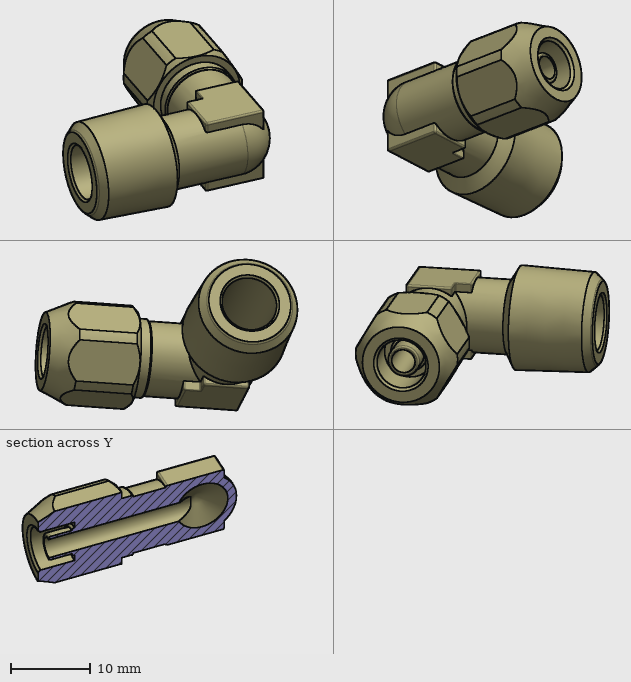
import cadquery as cq
import math

arm_radius = 9.5 / 2

nut_front_x = -22.5
nut_length = 11.5
nut_back_x = nut_front_x + nut_length
nut_across_flats = 12.0
nut_across_corners = nut_across_flats / math.cos(math.radians(30))
nut_radius = 13.1 / 2
nut_front_radius = 9.9 / 2
nut_front_taper = 3.5
nut_back_radius = 11.9 / 2
nut_back_chamfer = 0.65

collar_radius = 10.0 / 2
collar_end_x = -9.4
collar_chamfer = 0.2

socket_radius = 6.3 / 2
socket_mouth_radius = 7.0 / 2
socket_chamfer = socket_mouth_radius - socket_radius
socket_depth = 5.0
socket_floor_x = nut_front_x + socket_depth
nipple_recess = 1.5
nipple_tip_x = nut_front_x + nipple_recess
nipple_radius = 4.0 / 2
nipple_root_fillet = 0.35
nipple_tip_fillet = 0.25
tube_bore_radius = 3.0 / 2

thread_start_y = -9.4
thread_shoulder_y = -10.5
thread_end_y = -21.0
thread_shoulder_radius = 13.28 / 2
thread_taper = 1 / 16
thread_chamfer_y = -19.85
thread_small_radius = thread_shoulder_radius - (thread_shoulder_y - thread_chamfer_y) * thread_taper / 2
thread_nose_length = 0.2
thread_nose_radius = 11.0 / 2
thread_face_radius = 10.5 / 2

main_bore_radius = 7.0 / 2
main_bore_chamfer = 0.3
drill_point_angle = 120.0
drill_point_length = main_bore_radius / math.tan(math.radians(drill_point_angle / 2))

pad_height = 10.0
pad_near = 3.05
pad_far = -5.0
pad_notch = -2.85
pad_fillet = 0.25
notch_fillet = 0.12


def revolve_x(points):
    """Revolve (x, radius) points about the X axis."""
    return cq.Workplane("XY").polyline(points).close().revolve(360, (0, 0, 0), (1, 0, 0))


def revolve_y(points):
    """Revolve (radius, y) points about the Y axis."""
    return cq.Workplane("XY").polyline(points).close().revolve(360, (0, 0, 0), (0, 1, 0))


def make_nut():
    hexagon = (
        cq.Workplane("YZ", origin=(nut_front_x, 0, 0))
        .polygon(6, nut_across_corners)
        .extrude(nut_length)
    )
    envelope = revolve_x([
        (nut_front_x, 0),
        (nut_front_x, nut_front_radius),
        (nut_front_x + nut_front_taper, nut_radius),
        (nut_back_x - nut_back_chamfer, nut_radius),
        (nut_back_x, nut_back_radius),
        (nut_back_x, 0),
    ])
    return hexagon.intersect(envelope)


def make_nut_arm():
    return revolve_x([
        (nut_back_x, 0),
        (nut_back_x, collar_radius),
        (collar_end_x - collar_chamfer, collar_radius),
        (collar_end_x, collar_radius - collar_chamfer),
        (collar_end_x, arm_radius),
        (0, arm_radius),
        (0, 0),
    ])


def make_thread_arm():
    return revolve_y([
        (0, 0),
        (arm_radius, 0),
        (arm_radius, thread_start_y),
        (thread_shoulder_radius, thread_shoulder_y),
        (thread_small_radius, thread_chamfer_y),
        (thread_nose_radius, thread_end_y + thread_nose_length),
        (thread_face_radius, thread_end_y),
        (0, thread_end_y),
    ])


def make_pads():
    """One L-shaped block through the elbow whose two ends form the pads."""
    side = pad_near - pad_far
    middle = (pad_near + pad_far) / 2
    block = cq.Workplane("XY").box(side, side, pad_height)
    block = block.edges("|Z").fillet(pad_fillet).faces("|Z").edges().fillet(pad_fillet)
    block = block.translate((middle, middle, 0))
    notch_size = pad_notch - pad_far
    notch_middle = (pad_notch + pad_far) / 2
    notch = cq.Workplane("XY").box(notch_size, notch_size, pad_height)
    block = block.cut(notch.translate((notch_middle, notch_middle, 0)))
    notch_zone = cq.selectors.BoxSelector(
        (pad_far - pad_fillet, pad_far - pad_fillet, -pad_height),
        (pad_notch + pad_fillet, pad_notch + pad_fillet, pad_height),
        boundingbox=True,
    )
    inner_corner = cq.selectors.NearestToPointSelector((pad_notch, pad_notch, 0))
    block = block.edges("|Z").edges(inner_corner).fillet(notch_fillet)
    return block.faces("|Z").edges(notch_zone).fillet(notch_fillet)


def make_socket():
    """Space around the nipple, open at the nut face."""
    return (
        cq.Workplane("XY")
        .moveTo(nut_front_x, 0)
        .lineTo(nut_front_x, socket_mouth_radius)
        .lineTo(nut_front_x + socket_chamfer, socket_radius)
        .lineTo(socket_floor_x, socket_radius)
        .lineTo(socket_floor_x, nipple_radius + nipple_root_fillet)
        .radiusArc((socket_floor_x - nipple_root_fillet, nipple_radius), -nipple_root_fillet)
        .lineTo(nipple_tip_x + nipple_tip_fillet, nipple_radius)
        .radiusArc((nipple_tip_x, nipple_radius - nipple_tip_fillet), -nipple_tip_fillet)
        .lineTo(nipple_tip_x, 0)
        .close()
        .revolve(360, (0, 0, 0), (1, 0, 0))
    )


def make_tube_bore():
    return cq.Workplane("YZ", origin=(nipple_tip_x, 0, 0)).circle(tube_bore_radius).extrude(-nipple_tip_x)


def make_main_bore():
    return revolve_y([
        (0, drill_point_length),
        (main_bore_radius, 0),
        (main_bore_radius, thread_end_y + main_bore_chamfer),
        (main_bore_radius + main_bore_chamfer, thread_end_y),
        (0, thread_end_y),
    ])


corner = cq.Workplane("XY").sphere(arm_radius)
body = make_nut_arm().union(make_thread_arm()).union(corner).union(make_pads()).union(make_nut())
result = body.cut(make_socket()).cut(make_tube_bore()).cut(make_main_bore())